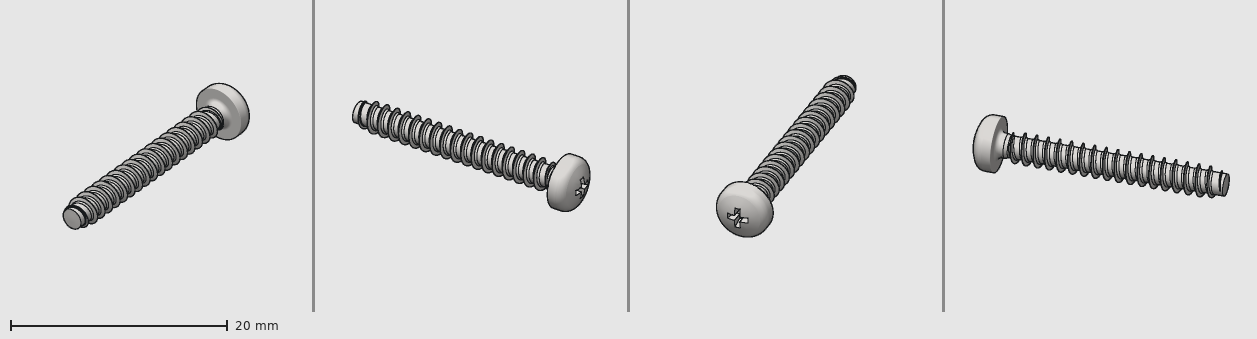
import cadquery as cq
import math

length = 24.28

head_radius = 2.65
head_height = 2.28
head_band_top = 1.4
dome_rise = 0.017
shoulder_radius = 1.0
rim_fillet = 0.036

neck_fillet_radius = 0.45
shank_radius = 1.17
shank_end = 3.04
shank_taper_end = 3.4
core_radius = 1.05
tip_cone_height = 0.05

thread_radius = 1.5
thread_start = 2.72
thread_end = 24.01
thread_turns = 19
runout_turns = 1.25
runout_radius = 1.15
crest_half_width = 0.02
knee_half_width = 0.12
knee_height = 0.1
root_half_width = 0.44
thread_embed = 0.05
points_per_turn = 12

recess_span = 2.14
recess_wing_width = 0.53
recess_depth = 1.21
recess_taper = 15.0


def arc_point(center, radius, degrees):
    """Point on a circle, with the angle measured from +X toward +Y."""
    angle = math.radians(degrees)
    return center[0] + radius * math.cos(angle), center[1] + radius * math.sin(angle)


def make_body():
    """Head, neck, shank and core as one revolved profile."""
    shoulder_center = (head_radius - shoulder_radius, -head_band_top)
    crown_height = head_band_top + dome_rise
    dome_radius = (shoulder_center[0] ** 2 + crown_height**2 - shoulder_radius**2) / (
        2 * (crown_height - shoulder_radius)
    )
    dome_center = (0, dome_rise - dome_radius)
    dome_edge_angle = math.degrees(math.atan2(dome_radius - crown_height, shoulder_center[0]))
    dome_edge = arc_point(dome_center, dome_radius, dome_edge_angle)
    rim_center = (head_radius - rim_fillet, rim_fillet - head_height)
    neck_center = (shank_radius + neck_fillet_radius, -head_height - neck_fillet_radius)
    return (
        cq.Workplane("XY")
        .moveTo(0, dome_rise)
        .threePointArc(arc_point(dome_center, dome_radius, (90 + dome_edge_angle) / 2), dome_edge)
        .threePointArc(
            arc_point(shoulder_center, shoulder_radius, dome_edge_angle / 2),
            (head_radius, -head_band_top),
        )
        .lineTo(head_radius, rim_center[1])
        .threePointArc(arc_point(rim_center, rim_fillet, -45), (rim_center[0], -head_height))
        .lineTo(neck_center[0], -head_height)
        .threePointArc(
            arc_point(neck_center, neck_fillet_radius, 135),
            (shank_radius, neck_center[1]),
        )
        .lineTo(shank_radius, -shank_end)
        .lineTo(core_radius, -shank_taper_end)
        .lineTo(core_radius, tip_cone_height - length)
        .lineTo(0, -length)
        .close()
        .revolve(360, (0, 0, 0), (0, 1, 0))
    )


def crest_growth(turn):
    """Thread height at a given turn, as a fraction of the full height."""
    full_height = thread_radius - core_radius
    end_fraction = (runout_radius - core_radius) / full_height
    turns_from_end = min(turn, thread_turns - turn)
    progress = min(turns_from_end / runout_turns, 1)
    return end_fraction + (1 - end_fraction) * progress


def thread_point(turn, height, offset):
    """Point on the thread at a height above the core, shifted along the axis by offset."""
    pitch = (thread_end - thread_start) / thread_turns
    growth = crest_growth(turn)
    radius = core_radius + (height * growth if height > 0 else height)
    angle = 2 * math.pi * turn
    return cq.Vector(
        -radius * math.cos(angle),
        offset * growth - thread_start - pitch * turn,
        -radius * math.sin(angle),
    )


def thread_edge(first_turn, height, offset):
    """One turn of a spiral edge."""
    turns = [first_turn + step / points_per_turn for step in range(points_per_turn + 1)]
    return cq.Edge.makeSpline([thread_point(turn, height, offset) for turn in turns])


def make_thread():
    """Right-hand thread: ruled faces between spiral edges, closed by a flat face at each end."""
    upper_flank = [
        (-thread_embed, root_half_width),
        (knee_height, knee_half_width),
        (thread_radius - core_radius, crest_half_width),
    ]
    lower_flank = [(height, -offset) for height, offset in reversed(upper_flank)]
    profile = upper_flank + lower_flank
    faces = []
    for first_turn in range(thread_turns):
        edges = [thread_edge(first_turn, height, offset) for height, offset in profile]
        faces += [cq.Face.makeRuledSurface(edges[i - 1], edges[i]) for i in range(len(edges))]
    for turn in (0, thread_turns):
        corners = [thread_point(turn, height, offset) for height, offset in profile]
        faces.append(cq.Face.makeFromWires(cq.Wire.makePolygon(corners, close=True)))
    return cq.Workplane(cq.Solid.makeSolid(cq.Shell.makeShell(faces)))


def make_recess():
    """Cross-shaped cutter with tapered wing ends, reaching down from above the crown."""
    shrink = recess_depth * math.tan(math.radians(recess_taper))
    half_span = recess_span / 2
    wing = (
        cq.Workplane("XY")
        .polyline(
            [
                (-half_span, dome_rise),
                (half_span, dome_rise),
                (half_span, 0),
                (half_span - shrink, -recess_depth),
                (shrink - half_span, -recess_depth),
                (-half_span, 0),
            ]
        )
        .close()
        .extrude(recess_wing_width / 2, both=True)
    )
    return wing.union(wing.rotate((0, 0, 0), (0, 1, 0), 90))


result = make_body().cut(make_recess()).union(make_thread())